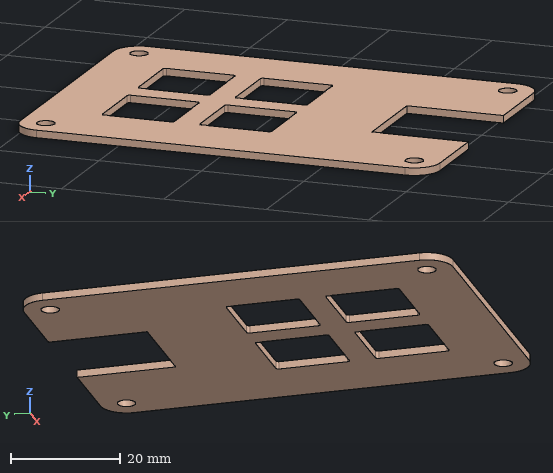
import cadquery as cq

PLATE_WIDTH = 59.5
PLATE_LENGTH = 82.0
PLATE_THICKNESS = 1.5
CORNER_RADIUS = 5.0

MOUNT_HOLE_DIAMETER = 3.4
MOUNT_SPACING_X = PLATE_WIDTH - 2 * CORNER_RADIUS
MOUNT_SPACING_Y = PLATE_LENGTH - 2 * CORNER_RADIUS

NOTCH_WIDTH = 18.5
NOTCH_DEPTH = 18.9
NOTCH_CENTER_X = 0.3

WINDOW_SIZE = 14.0
WINDOW_PITCH = 19.0
WINDOW_CORNER_RADIUS = 0.5
WINDOW_COUNT = 2
GRID_CENTER_X = -0.6
GRID_CENTER_Y = -11.8


def make_plate():
    """Flat plate with rounded corners."""
    return (
        cq.Workplane("XY")
        .rect(PLATE_WIDTH, PLATE_LENGTH)
        .extrude(PLATE_THICKNESS)
        .edges("|Z")
        .fillet(CORNER_RADIUS)
    )


def make_mount_holes():
    """Cutters for the four through holes at the corners."""
    return (
        cq.Workplane("XY")
        .rect(MOUNT_SPACING_X, MOUNT_SPACING_Y, forConstruction=True)
        .vertices()
        .circle(MOUNT_HOLE_DIAMETER / 2)
        .extrude(PLATE_THICKNESS)
    )


def make_notch():
    """Cutter for the square-cornered notch in the +Y edge."""
    notch_center_y = (PLATE_LENGTH - NOTCH_DEPTH) / 2
    return (
        cq.Workplane("XY")
        .center(NOTCH_CENTER_X, notch_center_y)
        .rect(NOTCH_WIDTH, NOTCH_DEPTH)
        .extrude(PLATE_THICKNESS)
    )


def make_windows():
    """Cutters for the grid of square windows with slightly rounded corners."""
    return (
        cq.Workplane("XY")
        .center(GRID_CENTER_X, GRID_CENTER_Y)
        .rarray(WINDOW_PITCH, WINDOW_PITCH, WINDOW_COUNT, WINDOW_COUNT)
        .rect(WINDOW_SIZE, WINDOW_SIZE)
        .extrude(PLATE_THICKNESS)
        .edges("|Z")
        .fillet(WINDOW_CORNER_RADIUS)
    )


result = make_plate().cut(make_mount_holes()).cut(make_notch()).cut(make_windows())